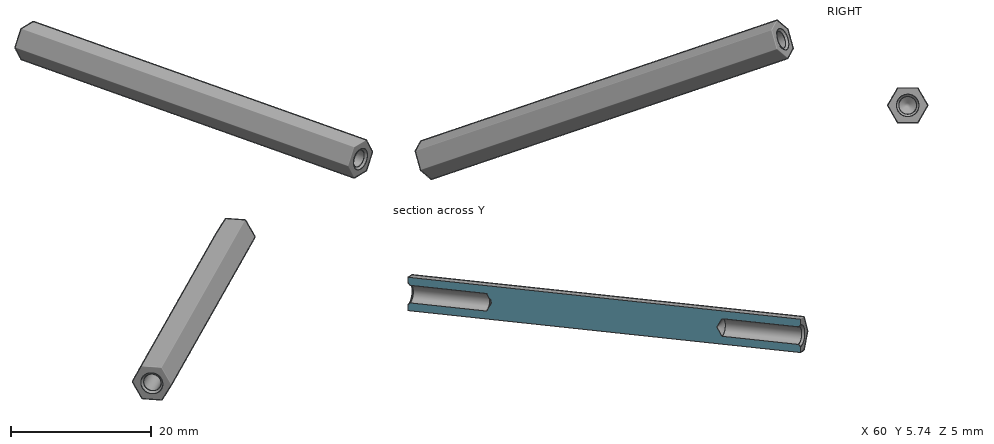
import cadquery as cq
import math

length = 60.0
across_flats = 5.0
edge_radius = 0.1
across_corners = across_flats / math.cos(math.radians(30))

bore_radius = 2.5 / 2
countersink_radius = 3.2 / 2
countersink_depth = countersink_radius - bore_radius
bore_depth = 12.0
drill_point_angle = 118.0
drill_point_depth = bore_radius / math.tan(math.radians(drill_point_angle / 2))


def hex_bar():
    """Bar with rounded edges and flats facing +Z and -Z, centred on the origin."""
    return (
        cq.Workplane("YZ")
        .polygon(6, across_corners)
        .extrude(length / 2, both=True)
        .edges()
        .fillet(edge_radius)
    )


def end_hole():
    """Solid of the hole in the -X end, revolved about the X axis."""
    end_x = -length / 2
    bottom_x = end_x + bore_depth
    return (
        cq.Workplane("XY")
        .moveTo(end_x, 0)
        .lineTo(end_x, countersink_radius)
        .lineTo(end_x + countersink_depth, bore_radius)
        .lineTo(bottom_x, bore_radius)
        .lineTo(bottom_x + drill_point_depth, 0)
        .close()
        .revolve(360, (0, 0, 0), (1, 0, 0))
    )


hole = end_hole()
result = hex_bar().cut(hole).cut(hole.mirror("YZ"))